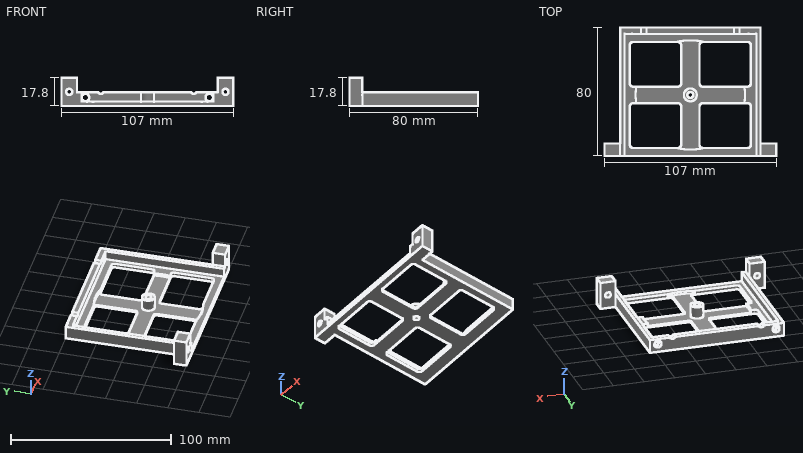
import cadquery as cq

length = 80.0
body_width = 87.3
wall_height = 8.8
side_wall = 2.7
back_wall = 4.0
floor_thickness = 2.8
inner_width = body_width - 2 * side_wall

overall_width = 107.0
lug_width = (overall_width - body_width) / 2
lug_depth = 8.0
lug_height = 17.8
lug_hole_diameter = 3.6

center_y = 38.1
window_outer_x = 37.6
window_inner_x = 5.8
window_outer_y = 32.8
window_inner_y = 5.2
window_corner_radius = 1.8

recess_radius = 34.0
arm_thickness = 1.2

boss_diameter = 8.0
boss_hole_diameter = 3.6

wall_hole_diameter = 4.6
wall_hole_x = 38.5
wall_hole_z = 5.4
notch_diameter = 3.6
notch_x = 28.9
notch_depth = 1.1
notch_center_z = wall_height - notch_depth + notch_diameter / 2


def box(width, depth, height, x, y, z):
    """Box centered on x, starting at the given y and z."""
    return cq.Workplane("XY").box(width, depth, height, centered=(True, False, False)).translate((x, y, z))


def cylinder_along_y(diameter, depth, x, y, z):
    """Cylinder running from y toward +Y."""
    return cq.Workplane("XZ", origin=(x, y, z)).circle(diameter / 2).extrude(-depth)


def make_tray():
    tray = box(body_width, length, wall_height, 0, 0, 0)
    cavity = box(inner_width, length - back_wall, wall_height, 0, 0, floor_thickness)
    return tray.cut(cavity)


def make_lug(side):
    lug_x = side * (body_width + lug_width) / 2
    lug = box(lug_width, lug_depth, lug_height, lug_x, 0, 0)
    return lug.cut(cylinder_along_y(lug_hole_diameter, lug_depth, lug_x, 0, lug_height / 2))


def make_windows():
    spacing_x = window_outer_x + window_inner_x
    spacing_y = window_outer_y + window_inner_y
    return (
        cq.Workplane("XY", origin=(0, center_y, 0))
        .rarray(spacing_x, spacing_y, 2, 2)
        .rect(window_outer_x - window_inner_x, window_outer_y - window_inner_y)
        .extrude(floor_thickness)
        .edges("|Z")
        .fillet(window_corner_radius)
    )


floor_center = cq.Workplane("XY", origin=(0, center_y, 0))

recess_depth = floor_thickness - arm_thickness
recess = floor_center.workplane(offset=arm_thickness).circle(recess_radius).extrude(recess_depth)
result = make_tray().cut(recess).cut(make_windows())

result = result.union(floor_center.circle(boss_diameter / 2).extrude(wall_height))
result = result.cut(floor_center.circle(boss_hole_diameter / 2).extrude(wall_height))

back_wall_y = length - back_wall
for side in (-1, 1):
    result = result.union(make_lug(side))
    wall_hole = cylinder_along_y(wall_hole_diameter, back_wall, side * wall_hole_x, back_wall_y, wall_hole_z)
    notch = cylinder_along_y(notch_diameter, back_wall, side * notch_x, back_wall_y, notch_center_z)
    result = result.cut(wall_hole).cut(notch)